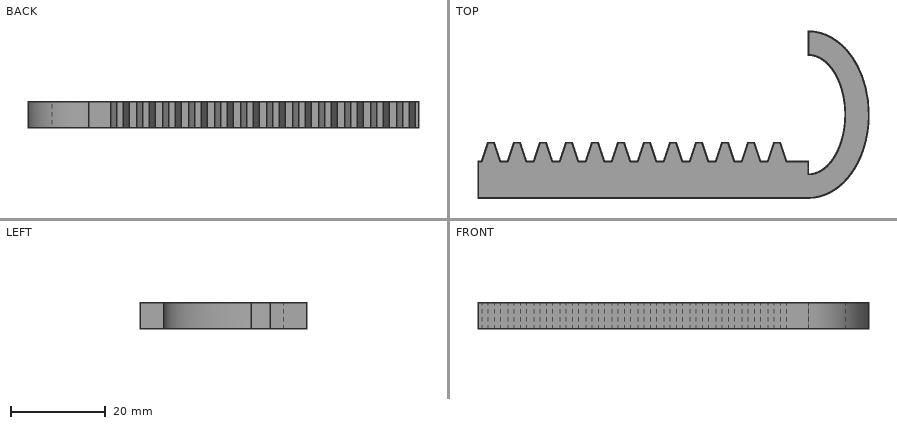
import cadquery as cq

length = 82.6
width = 35.3
thickness = 5.5

body_length = 69.8
body_width = 7.8

tooth_count = 12
tooth_height = 4.0
tooth_root_width = 4.0
tooth_tip_width = 1.3
first_tooth_center = 2.7
tooth_row_span = 60.5
tooth_pitch = tooth_row_span / (tooth_count - 1)

hook_wall = 5.0
hook_outer_x = length - body_length
hook_outer_y = width / 2
hook_inner_x = hook_outer_x - hook_wall
hook_inner_y = hook_outer_y - hook_wall


def make_body():
    return cq.Workplane("XY").rect(body_length, body_width).extrude(thickness).translate(
        (body_length / 2, body_width / 2, 0)
    )


def make_tooth(center_x):
    """Trapezoidal tooth standing on the body, running down to its bottom edge."""
    root = tooth_root_width / 2
    tip = tooth_tip_width / 2
    tip_y = body_width + tooth_height
    return (
        cq.Workplane("XY")
        .moveTo(center_x - root, 0)
        .lineTo(center_x + root, 0)
        .lineTo(center_x + root, body_width)
        .lineTo(center_x + tip, tip_y)
        .lineTo(center_x - tip, tip_y)
        .lineTo(center_x - root, body_width)
        .close()
        .extrude(thickness)
    )


def make_hook():
    """Right half of an elliptical ring."""
    center = cq.Workplane("XY").center(body_length, hook_outer_y)
    outer = center.ellipse(hook_outer_x, hook_outer_y).extrude(thickness)
    inner = center.ellipse(hook_inner_x, hook_inner_y).extrude(thickness)
    right_half = cq.Workplane("XY").box(
        hook_outer_x, width, thickness, centered=False
    ).translate((body_length, 0, 0))
    return outer.cut(inner).intersect(right_half)


result = make_body().union(make_hook())
for index in range(tooth_count):
    result = result.union(make_tooth(first_tooth_center + index * tooth_pitch))